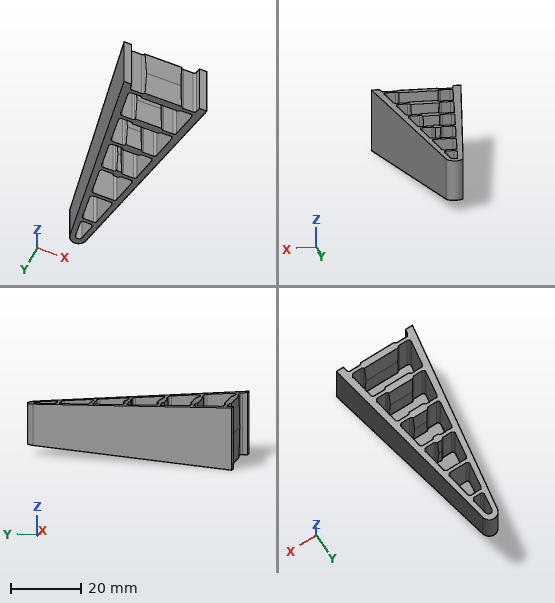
import cadquery as cq
import math

LENGTH = 61.5
BASE_WIDTH = 25.9
BASE_HEIGHT = 18.0
HALF_HEIGHT = BASE_HEIGHT / 2
TIP_HEIGHT = 11.75
TIP_RADIUS = 2.5

INNER_BASE_WIDTH = 21.15
INNER_TIP_RADIUS = 1.05
TIP_WALL = 1.9
INNER_TIP_Y = LENGTH - TIP_WALL

RIB_COUNT = 6
FIRST_RIB_Y = 2.5
LAST_RIB_Y = 52.5
RIB_PITCH = (LAST_RIB_Y - FIRST_RIB_Y) / (RIB_COUNT - 1)
RIB_THICKNESS = 1.05
CORNER_RADIUS = 0.8

PAD_COUNT = 4
PAD_WALL_GAP = 4.0
PAD_THICKNESS = 2.65
PAD_DRAFT_ANGLE = 2.0
PAD_FLANK_ANGLE = 45.0
PAD_ROOT_RADIUS = 0.85

rib_centres = [FIRST_RIB_Y + i * RIB_PITCH for i in range(RIB_COUNT)]


def wall_angle(base_width, tip_radius, tip_y):
    """Angle from the Y axis of a side that is tangent to the tip circle."""
    half_width = base_width / 2
    centre_y = tip_y - tip_radius
    corner_to_centre = math.hypot(half_width, centre_y)
    return math.atan2(half_width, centre_y) - math.asin(tip_radius / corner_to_centre)


def rounded_wedge(base_width, tip_radius, tip_y):
    """Full-height prism narrowing from Y = 0 to a rounded tip."""
    angle = wall_angle(base_width, tip_radius, tip_y)
    tangent_x = tip_radius * math.cos(angle)
    tangent_y = tip_y - tip_radius + tip_radius * math.sin(angle)
    return (
        cq.Workplane("XY")
        .moveTo(-base_width / 2, 0)
        .lineTo(base_width / 2, 0)
        .lineTo(tangent_x, tangent_y)
        .threePointArc((0, tip_y), (-tangent_x, tangent_y))
        .close()
        .extrude(HALF_HEIGHT, both=True)
    )


def band(y_start, y_end):
    """Block spanning the full width and height between two Y positions."""
    depth = y_end - y_start
    return cq.Workplane("XY").box(BASE_WIDTH, depth, BASE_HEIGHT).translate((0, y_start + depth / 2, 0))


def cavities():
    """Open end and the pockets between ribs, with rounded corners at the ribs."""
    hollow = rounded_wedge(INNER_BASE_WIDTH, INNER_TIP_RADIUS, INNER_TIP_Y)
    half_rib = RIB_THICKNESS / 2
    starts = [0] + [y + half_rib for y in rib_centres]
    ends = [y - half_rib for y in rib_centres] + [INNER_TIP_Y]
    pockets = []
    for index, (start, end) in enumerate(zip(starts, ends)):
        pocket = hollow.intersect(band(start, end))
        if index > 0:
            pocket = pocket.edges("|Z and <Y").fillet(CORNER_RADIUS)
        if index < RIB_COUNT:
            pocket = pocket.edges("|Z and >Y").fillet(CORNER_RADIUS)
        pockets.append(pocket)
    return pockets


def pad_prism(half_width):
    """Constant-section pad with sloped flanks and filleted roots, centred on Y = 0."""
    flank = math.radians(PAD_FLANK_ANGLE)
    root_y = RIB_THICKNESS / 2
    face_y = PAD_THICKNESS / 2
    face_x = half_width - (face_y - root_y) / math.tan(flank)
    tangent = PAD_ROOT_RADIUS * math.tan(flank / 2)
    fillet_end = (half_width - tangent * math.cos(flank), root_y + tangent * math.sin(flank))
    quarter = (
        cq.Workplane("XY")
        .lineTo(half_width + tangent, 0)
        .lineTo(half_width + tangent, root_y)
        .radiusArc(fillet_end, PAD_ROOT_RADIUS)
        .lineTo(face_x, face_y)
        .lineTo(0, face_y)
        .close()
        .extrude(HALF_HEIGHT, both=True)
    )
    half = quarter.union(quarter.mirror("YZ"))
    return half.union(half.mirror("XZ"))


def drafted_slab():
    """Slab that is thickest at mid-height and thins towards the top and bottom."""
    mid_y = PAD_THICKNESS / 2
    end_y = mid_y - HALF_HEIGHT * math.tan(math.radians(PAD_DRAFT_ANGLE))
    return (
        cq.Workplane("YZ")
        .polyline([
            (mid_y, 0), (end_y, HALF_HEIGHT), (-end_y, HALF_HEIGHT),
            (-mid_y, 0), (-end_y, -HALF_HEIGHT), (end_y, -HALF_HEIGHT),
        ])
        .close()
        .extrude(BASE_WIDTH / 2, both=True)
    )


def pad(rib_y):
    """Drafted pad on one rib, keeping a fixed gap to the inner side walls."""
    angle = wall_angle(INNER_BASE_WIDTH, INNER_TIP_RADIUS, INNER_TIP_Y)
    half_width = INNER_BASE_WIDTH / 2 - rib_y * math.tan(angle) - PAD_WALL_GAP
    return pad_prism(half_width).intersect(drafted_slab()).translate((0, rib_y, 0))


def height_taper():
    """Envelope that lowers the top and bottom evenly towards the tip."""
    return (
        cq.Workplane("YZ")
        .polyline([
            (0, -HALF_HEIGHT), (LENGTH, -TIP_HEIGHT / 2),
            (LENGTH, TIP_HEIGHT / 2), (0, HALF_HEIGHT),
        ])
        .close()
        .extrude(BASE_WIDTH, both=True)
    )


frame = rounded_wedge(BASE_WIDTH, TIP_RADIUS, LENGTH)
for pocket in cavities():
    frame = frame.cut(pocket)
for rib_y in rib_centres[:PAD_COUNT]:
    frame = frame.union(pad(rib_y))

result = frame.intersect(height_taper())